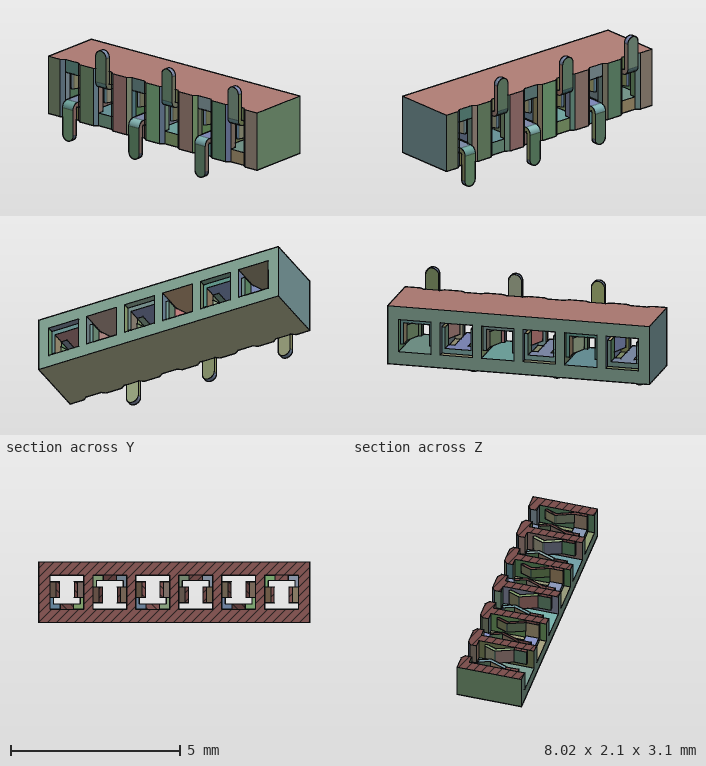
import cadquery as cq
import math


length = 8.02
depth = 2.0
height = 1.8
contact_count = 6
contact_span = 6.35

groove_depth = 0.1
groove_mouth_width = 0.75
slot_width = 0.5

lip_thickness = 0.3
chamber_width = 0.995
chamber_height = 0.995

strip_thickness = 0.15
tail_width = 0.4
tail_projection = 0.105
tail_tip_span = 3.1
bend_outer_radius = 0.2

arm_thickness = 0.105
arm_height = 0.47
arm_gap = 0.38
arm_nose_x = 0.36
arm_nose_y = 0.57
arm_angle = 21.5
contact_end_inset = 0.2

pitch = contact_span / (contact_count - 1)
tail_reach = tail_tip_span / 2
chamber_floor = -chamber_height / 2
strip_top = chamber_floor + strip_thickness
contact_end = depth - contact_end_inset
arm_half = arm_thickness / 2
arm_middle_z = (strip_top + chamber_height / 2) / 2
arm_bottom = arm_middle_z - arm_height / 2
arm_top = arm_middle_z + arm_height / 2
arm_slope = math.tan(math.radians(arm_angle))

pinch_x = arm_gap / 2 + arm_half
pinch_y = arm_nose_y + (arm_nose_x - pinch_x) / arm_slope
wall_x = chamber_width / 2 - arm_half
wall_y = pinch_y + (wall_x - pinch_x) / arm_slope


def block(x_range, y_range, z_range):
    """Box between the given limits along each axis."""
    (x0, x1), (y0, y1), (z0, z1) = x_range, y_range, z_range
    return cq.Workplane("XY").box(x1 - x0, y1 - y0, z1 - z0, centered=False).translate((x0, y0, z0))


def contact_places():
    """X position of each contact, from -X to +X."""
    first = -contact_span / 2
    return [first + pitch * i for i in range(contact_count)]


def groove_cutter():
    """Full-height groove with sloping sides in the front face."""
    mouth = groove_mouth_width / 2
    bottom = slot_width / 2
    return (
        cq.Workplane("XY", origin=(0, 0, -height / 2))
        .polyline([(-mouth, 0), (-bottom, groove_depth), (bottom, groove_depth), (mouth, 0)])
        .close()
        .extrude(height)
    )


def opening_cutter():
    """Narrow slot through the front lip and the wider chamber behind it."""
    half_slot = slot_width / 2
    half_chamber = chamber_width / 2
    z_range = (chamber_floor, -chamber_floor)
    slot = block((-half_slot, half_slot), (0, lip_thickness), z_range)
    chamber = block((-half_chamber, half_chamber), (lip_thickness, depth), z_range)
    return slot.union(chamber)


def make_housing():
    body = block((-length / 2, length / 2), (0, depth), (-height / 2, height / 2))
    cutter = groove_cutter().union(opening_cutter())
    for x in contact_places():
        body = body.cut(cutter.translate((x, 0, 0)))
    return body


def make_tail():
    """Flat strip on the chamber floor, bent down in front of the housing to a rounded tip."""
    front = -tail_projection
    back = front + strip_thickness
    strip = (
        cq.Workplane("YZ", origin=(-tail_width / 2, 0, 0))
        .moveTo(contact_end, strip_top)
        .lineTo(front + bend_outer_radius, strip_top)
        .radiusArc((front, strip_top - bend_outer_radius), -bend_outer_radius)
        .lineTo(front, -tail_reach)
        .lineTo(back, -tail_reach)
        .lineTo(back, strip_top - bend_outer_radius)
        .radiusArc((front + bend_outer_radius, chamber_floor), bend_outer_radius - strip_thickness)
        .lineTo(contact_end, chamber_floor)
        .close()
        .extrude(tail_width)
    )
    tip_radius = tail_width / 2
    tip_center_z = tip_radius - tail_reach
    tip_corners = block((-tip_radius, tip_radius), (front, back), (-tail_reach, tip_center_z))
    tip_round = (
        cq.Workplane("XZ", origin=(0, back, tip_center_z)).circle(tip_radius).extrude(strip_thickness)
    )
    return strip.cut(tip_corners.cut(tip_round))


def make_arm():
    """The +X spring arm, pinched inwards, with the side plate that carries it."""
    spring = (
        cq.Workplane("XY", origin=(0, 0, arm_bottom))
        .polyline(
            [
                (arm_nose_x, arm_nose_y),
                (pinch_x, pinch_y),
                (wall_x, wall_y),
                (wall_x, contact_end - arm_half),
            ]
        )
        .offset2D(arm_half)
        .extrude(arm_height)
    )
    plate = block(
        (wall_x - arm_half, wall_x + arm_half), (wall_y, contact_end), (chamber_floor, arm_top)
    )
    return spring.union(plate)


def make_contact():
    """Contact with its tail pointing down, centred on X = 0."""
    half_base = chamber_width / 2
    base = block((-half_base, half_base), (wall_y, contact_end), (chamber_floor, strip_top))
    arm = make_arm()
    return make_tail().union(base).union(arm).union(arm.mirror("YZ"))


housing = make_housing()

down_contact = make_contact()
up_contact = down_contact.rotate((0, 0, 0), (0, 1, 0), 180)
contacts = []
for index, place_x in enumerate(contact_places()):
    contact = down_contact if index % 2 == 0 else up_contact
    contacts.append(contact.translate((place_x, 0, 0)).val())

result = cq.Compound.makeCompound([housing.val(), *contacts])